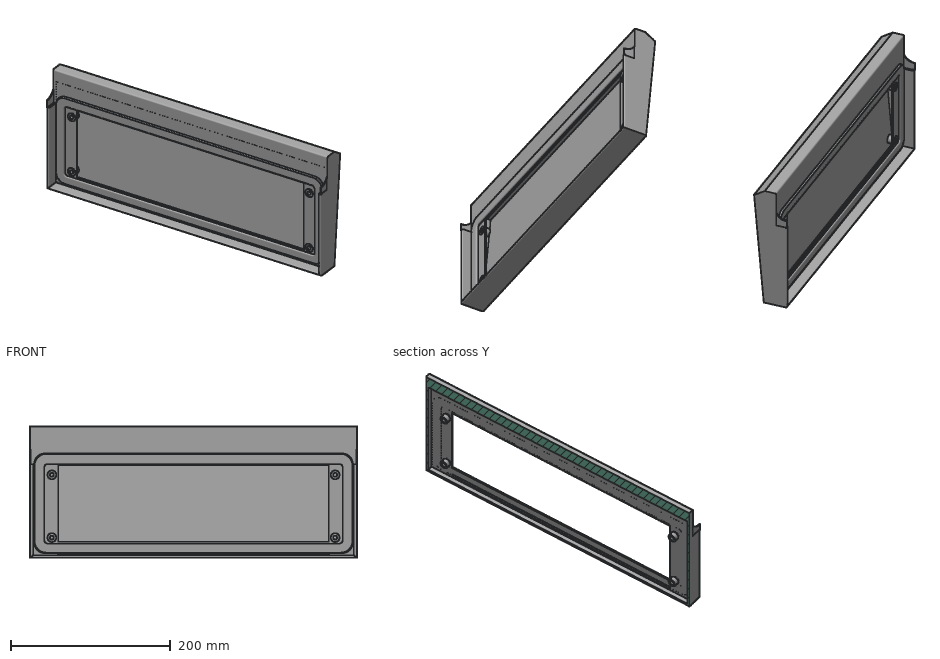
import cadquery as cq
import math

LENGTH = 410.0
DEPTH = 45.5
HEIGHT = 165.0

FACE_Y = 14.8
BASE_DEPTH = 32.5
BACK_TOP_Z = 155.0
TOP_BACK_Y = 30.5
FACE_TOP_ROUND = 2.0
BACK_EDGE_ROUND = 1.5

CHEEK_THICKNESS = 3.9
LEDGE_THICKNESS = 3.3
CHEEK_TOP_Z = 117.3
RIM_OUTER_ROUND = 1.5
RIM_INNER_ROUND = 1.48

FIN_THICKNESS = 1.02
FIN_RADIUS = 17.0
FIN_FRONT_Z = 127.0

FRONT_WALL = 1.5
WALL = 3.5
CAVITY_TOP_Z = 147.5

OPENING_WIDTH = 339.5
OPENING_BOTTOM_Z = 20.0
OPENING_TOP_Z = 116.5
RECESS_BOTTOM_Z = 4.5
RECESS_TOP_Z = 8.0
RECESS_DEPTH = 1.0

BEZEL_WIDTH = 400.0
BEZEL_BOTTOM_Z = 5.7
BEZEL_TOP_Z = 131.0
BEZEL_THICKNESS = 3.0
BEZEL_CORNER = 14.8
BEZEL_DRAFT = 20.0
WINDOW_WIDTH = 374.0
WINDOW_BOTTOM_Z = 18.0
WINDOW_TOP_Z = 117.5
WINDOW_CORNER = 4.0
WINDOW_ROUND = 1.5

INSERT_RADIUS = 5.55
INSERT_BORE_RADIUS = 2.5
INSERT_LENGTH = 9.0
INSERT_X = 177.5
INSERT_LOW_Z = 25.5
INSERT_HIGH_Z = 104.0
INSERT_CENTRES = [(x, z) for x in (-INSERT_X, INSERT_X) for z in (INSERT_LOW_Z, INSERT_HIGH_Z)]

BACK_LEAN = math.atan2(DEPTH - BASE_DEPTH, BACK_TOP_Z)


def back_y(z):
    """Depth of the leaning back face at height z."""
    return BASE_DEPTH + z * math.tan(BACK_LEAN)


def bar(points, length):
    """Prism with a (Y, Z) outline, centred on X."""
    return cq.Workplane("YZ").polyline(points).close().extrude(length / 2, both=True)


def block(width, bottom, top, front, back):
    """Box centred on X between two heights and two depths."""
    return bar([(front, bottom), (back, bottom), (back, top), (front, top)], width)


def make_block():
    """Upper and rear part of the housing, up to the flat front face."""
    outline = [
        (FACE_Y, 0),
        (BASE_DEPTH, 0),
        (DEPTH, BACK_TOP_Z),
        (TOP_BACK_Y, HEIGHT),
        (FACE_Y, HEIGHT),
    ]
    body = bar(outline, LENGTH)
    front_top_edge = cq.selectors.NearestToPointSelector((0, FACE_Y, HEIGHT))
    body = body.edges(front_top_edge).fillet(FACE_TOP_ROUND)
    for x in (-LENGTH / 2, LENGTH / 2):
        middle = (x, back_y(BACK_TOP_Z / 2), BACK_TOP_Z / 2)
        body = body.edges(cq.selectors.NearestToPointSelector(middle)).fillet(BACK_EDGE_ROUND)
    return body


def make_rim():
    """Cheeks and bottom ledge that stand forward of the front face."""
    rim = block(LENGTH, 0, CHEEK_TOP_Z, 0, FACE_Y)
    inside = block(LENGTH - 2 * CHEEK_THICKNESS, LEDGE_THICKNESS, CHEEK_TOP_Z, 0, FACE_Y)
    rim = rim.cut(inside)
    rim = rim.faces("<Y").edges("<X or >X or <Z").fillet(RIM_OUTER_ROUND)
    inner_x = LENGTH / 2 - CHEEK_THICKNESS
    middle_z = (LEDGE_THICKNESS + CHEEK_TOP_Z) / 2
    for point in ((-inner_x, 0, middle_z), (inner_x, 0, middle_z), (0, 0, LEDGE_THICKNESS)):
        rim = rim.edges(cq.selectors.NearestToPointSelector(point)).fillet(RIM_INNER_ROUND)
    return rim


def make_fin(x):
    """Thin plate above a cheek, with a hollow-curved top that rises to the front face."""
    centre_z = FIN_FRONT_Z + FIN_RADIUS
    rear_z = centre_z - math.sqrt(FIN_RADIUS**2 - FACE_Y**2)
    half_sweep = math.asin(FACE_Y / FIN_RADIUS) / 2
    middle = (FIN_RADIUS * math.sin(half_sweep), centre_z - FIN_RADIUS * math.cos(half_sweep))
    return (
        cq.Workplane("YZ", origin=(x, 0, 0))
        .moveTo(0, CHEEK_TOP_Z)
        .lineTo(FACE_Y, CHEEK_TOP_Z)
        .lineTo(FACE_Y, rear_z)
        .threePointArc(middle, (0, FIN_FRONT_Z))
        .close()
        .extrude(FIN_THICKNESS)
    )


def make_cavity():
    """Hollow behind the front wall, with its back parallel to the leaning back face."""
    front = FACE_Y + FRONT_WALL
    back_wall = WALL / math.cos(BACK_LEAN)
    outline = [
        (front, WALL),
        (back_y(WALL) - back_wall, WALL),
        (back_y(CAVITY_TOP_Z) - back_wall, CAVITY_TOP_Z),
        (front, CAVITY_TOP_Z),
    ]
    return bar(outline, LENGTH - 2 * WALL)


def make_insert_holes():
    """One hole per insert, cut through the front wall."""
    plane = cq.Workplane("XZ", origin=(0, FACE_Y, 0))
    return plane.pushPoints(INSERT_CENTRES).circle(INSERT_RADIUS).extrude(-FRONT_WALL)


def make_housing():
    """One-piece housing: hollow block, rim and fins, with the openings cut."""
    body = make_block().union(make_rim())
    for x in (-LENGTH / 2, LENGTH / 2 - FIN_THICKNESS):
        body = body.union(make_fin(x))
    wall_back = FACE_Y + FRONT_WALL
    opening = block(OPENING_WIDTH, OPENING_BOTTOM_Z, OPENING_TOP_Z, FACE_Y, wall_back)
    recess = block(OPENING_WIDTH, RECESS_BOTTOM_Z, RECESS_TOP_Z, FACE_Y, FACE_Y + RECESS_DEPTH)
    body = body.cut(make_cavity()).cut(opening).cut(recess)
    return body.cut(make_insert_holes())


def rounded_plate(width, bottom, top, corner, draft):
    """Plate standing forward of the front face, with rounded corners and drafted sides."""
    outline = cq.Sketch().rect(width, top - bottom).vertices().fillet(corner)
    plane = cq.Workplane("XZ", origin=(0, FACE_Y, (bottom + top) / 2))
    return plane.placeSketch(outline).extrude(BEZEL_THICKNESS, taper=draft)


def make_bezel():
    """Raised frame around the opening, with a rounded window edge."""
    frame = rounded_plate(BEZEL_WIDTH, BEZEL_BOTTOM_Z, BEZEL_TOP_Z, BEZEL_CORNER, BEZEL_DRAFT)
    window = rounded_plate(WINDOW_WIDTH, WINDOW_BOTTOM_Z, WINDOW_TOP_Z, WINDOW_CORNER, 0)
    frame = frame.cut(window)
    window_edge = (0, FACE_Y - BEZEL_THICKNESS, WINDOW_BOTTOM_Z)
    return frame.edges(cq.selectors.NearestToPointSelector(window_edge)).fillet(WINDOW_ROUND)


def make_insert(x, z):
    """Tube whose front end is flush with the front face."""
    plane = cq.Workplane("XZ", origin=(x, FACE_Y, z))
    return plane.circle(INSERT_RADIUS).circle(INSERT_BORE_RADIUS).extrude(-INSERT_LENGTH)


housing = make_housing()
bezel = make_bezel()
inserts = [make_insert(x, z) for x, z in INSERT_CENTRES]

result = cq.Compound.makeCompound([housing.val(), bezel.val(), *[insert.val() for insert in inserts]])